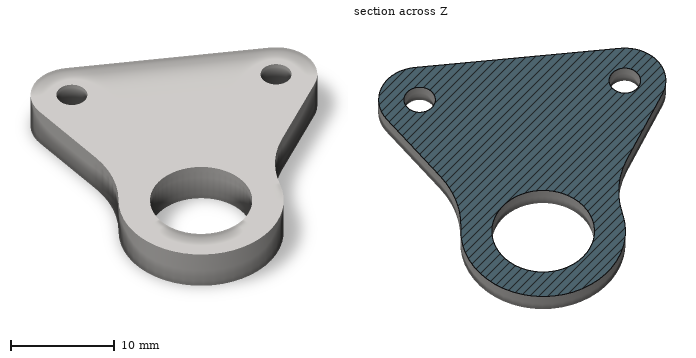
import cadquery as cq
import math

thickness = 4.0
hole_spacing = 20.0
bore_diameter = 9.9
bore_boss_radius = 8.0
small_hole_diameter = 3.0
corner_radius = 4.0
neck_radius = 10.0

triangle_angle = 60.0
symmetry_angle = 180.0 - triangle_angle / 2


def polar(center, radius, angle):
    """Point at a radius and an angle in degrees from a center."""
    a = math.radians(angle)
    return (center[0] + radius * math.cos(a), center[1] + radius * math.sin(a))


def mirror(point):
    """Reflect a point across the plate's line of symmetry."""
    distance = math.hypot(*point)
    angle = math.degrees(math.atan2(point[1], point[0]))
    return polar(bore_center, distance, 2 * symmetry_angle - angle)


bore_center = (0.0, 0.0)
lower_hole = (-hole_spacing, 0.0)
upper_hole = mirror(lower_hole)

neck_center_y = -corner_radius - neck_radius
neck_center_x = -math.sqrt((bore_boss_radius + neck_radius) ** 2 - neck_center_y ** 2)
neck_center = (neck_center_x, neck_center_y)
neck_direction = math.degrees(math.atan2(neck_center_y, neck_center_x))
neck_end_angle = neck_direction + 180.0
neck_start_angle = 90.0
neck_start = polar(neck_center, neck_radius, neck_start_angle)
neck_middle = polar(neck_center, neck_radius, (neck_start_angle + neck_end_angle) / 2)
neck_end = polar(bore_center, bore_boss_radius, neck_direction)
boss_far_point = polar(bore_center, bore_boss_radius, symmetry_angle + 180.0)

bottom_edge_normal = 270.0
corner_start = polar(lower_hole, corner_radius, bottom_edge_normal)
corner_middle = polar(lower_hole, corner_radius, (bottom_edge_normal + symmetry_angle) / 2)
corner_end = polar(lower_hole, corner_radius, symmetry_angle)


def make_plate():
    """Plate outline, traced counterclockwise from the lower corner."""
    outline = (
        cq.Workplane("XY")
        .moveTo(*corner_start)
        .lineTo(*neck_start)
        .threePointArc(neck_middle, neck_end)
        .threePointArc(boss_far_point, mirror(neck_end))
        .threePointArc(mirror(neck_middle), mirror(neck_start))
        .lineTo(*mirror(corner_start))
        .threePointArc(mirror(corner_middle), mirror(corner_end))
        .lineTo(*corner_end)
        .threePointArc(corner_middle, corner_start)
        .close()
    )
    return outline.extrude(thickness)


def make_through_holes(centers, diameter):
    """Cylinders that cut round holes through the plate."""
    return cq.Workplane("XY").pushPoints(centers).circle(diameter / 2).extrude(thickness)


result = (
    make_plate()
    .cut(make_through_holes([bore_center], bore_diameter))
    .cut(make_through_holes([lower_hole, upper_hole], small_hole_diameter))
)